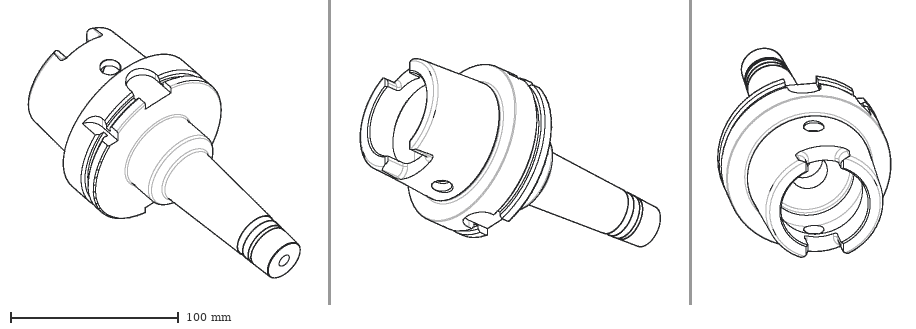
import cadquery as cq
import math

SHANK_LENGTH = 50.0
FLANGE_WIDTH = 29.0
NOSE_X = 145.0
NECK_CORNER_X = 50.5

GAUGE_DIAMETER = 75.0
GAUGE_X = -10.0
TAPER_RATIO = 1 / 10
SHANK_END_FILLET = 2.0
RELIEF_DIAMETER = 75.42
RELIEF_START_X = -2.5
RELIEF_STEP_LENGTH = 0.5
SHANK_ROOT_FILLET = 1.3

FLANGE_DIAMETER = 100.0
FLANGE_FILLET = 1.0
FLANGE_REAR_FILLET = 0.5
GROOVE_CENTRE_X = 20.0
GROOVE_MOUTH_WIDTH = 6.4
GROOVE_FLOOR_WIDTH = 3.4
GROOVE_DEPTH = 3.95
GROOVE_FLANK_ANGLE = 40.0

NECK_DIAMETER = 50.0
NECK_ROOT_FILLET = 1.0
SHOULDER_ANGLE = 60.0
SHOULDER_FILLET = 2.0
NOSE_DIAMETER = 25.8
NOSE_ANGLE = 3.0
NOSE_CHAMFER = 0.4
RING_BANDS = ((118.5, 123.1), (127.8, 130.2))
RING_DEPTH = 0.4

MOUTH_DIAMETER = 53.0
MOUTH_CHAMFER = 1.0
LIP_LENGTH = 19.0
UNDERCUT_DIAMETER = 63.0
LIP_ANGLE = 60.0
UNDERCUT_FILLET_X = -10.0
CAVITY_FLOOR_X = 0.0
CAVITY_FLOOR_FILLET = 1.5
THREAD_BORE_DIAMETER = 22.38
THREAD_BORE_DEPTH = 15.0
COOLANT_DIAMETER = 8.0

KEYWAY_WIDTH = 20.0
TOP_KEYWAY_DEPTH = 10.0
BOTTOM_KEYWAY_DEPTH = 15.0
KEYWAY_SHELF_HEIGHT = 32.0
KEYWAY_EDGE_RADIUS = 5.0
KEYWAY_CORNER_RADIUS = 2.0
KEYWAY_MOUTH_CHAMFER = 1.4

ACCESS_HOLE_DIAMETER = 12.0
ACCESS_HOLE_RIM_DIAMETER = 13.2
ACCESS_HOLE_X = -15.2

FLANGE_SLOT_WIDTH = 20.0
FLANGE_SLOT_START_X = 4.6
FLANGE_SLOT_FLOOR = 44.0
NOTCH_WALL = 31.5

SHANK_END_X = -SHANK_LENGTH
FLANGE_RADIUS = FLANGE_DIAMETER / 2
NECK_RADIUS = NECK_DIAMETER / 2
CLEARANCE = 5.0


def shank_radius(x):
    return (GAUGE_DIAMETER + (x - GAUGE_X) * TAPER_RATIO) / 2


def nose_radius(x):
    return NOSE_DIAMETER / 2 + (NOSE_X - x) * math.tan(math.radians(NOSE_ANGLE))


def revolve_profile(points):
    """Turn a closed (x, radius) outline about the X axis."""
    return cq.Workplane("XY").polyline(points).close().revolve(360, (0, 0, 0), (1, 0, 0))


def ring_edges(body, x, radius):
    """Circular edges about the X axis at the given station and radius."""
    tolerance = 0.001

    def matches(edge):
        if edge.geomType() != "CIRCLE":
            return False
        return abs(edge.Center().x - x) < tolerance and abs(edge.radius() - radius) < tolerance

    return body.edges().filter(matches)


def shoulder_foot():
    """Point where the shoulder cone meets the nose cone."""
    shoulder_slope = math.tan(math.radians(SHOULDER_ANGLE))
    nose_slope = math.tan(math.radians(NOSE_ANGLE))
    drop = NECK_RADIUS - nose_radius(NECK_CORNER_X)
    x = NECK_CORNER_X + drop / (shoulder_slope - nose_slope)
    return x, nose_radius(x)


def turned_body():
    foot = shoulder_foot()
    relief_radius = RELIEF_DIAMETER / 2
    end_radius = shank_radius(SHANK_END_X)
    nose_end_radius = nose_radius(NOSE_X)
    body = revolve_profile([
        (SHANK_END_X, 0),
        (SHANK_END_X, end_radius),
        (RELIEF_START_X, shank_radius(RELIEF_START_X)),
        (RELIEF_START_X + RELIEF_STEP_LENGTH, relief_radius),
        (0, relief_radius),
        (0, FLANGE_RADIUS),
        (FLANGE_WIDTH, FLANGE_RADIUS),
        (FLANGE_WIDTH, NECK_RADIUS),
        (NECK_CORNER_X, NECK_RADIUS),
        foot,
        (NOSE_X, nose_end_radius),
        (NOSE_X, 0),
    ])
    for x, radius, size in (
        (SHANK_END_X, end_radius, SHANK_END_FILLET),
        (0, relief_radius, SHANK_ROOT_FILLET),
        (0, FLANGE_RADIUS, FLANGE_REAR_FILLET),
        (FLANGE_WIDTH, FLANGE_RADIUS, FLANGE_FILLET),
        (FLANGE_WIDTH, NECK_RADIUS, NECK_ROOT_FILLET),
        (NECK_CORNER_X, NECK_RADIUS, SHOULDER_FILLET),
        (*foot, SHOULDER_FILLET),
    ):
        body = ring_edges(body, x, radius).fillet(size)
    return ring_edges(body, NOSE_X, nose_end_radius).chamfer(NOSE_CHAMFER)


def gripper_groove():
    half_mouth = GROOVE_MOUTH_WIDTH / 2
    half_floor = GROOVE_FLOOR_WIDTH / 2
    floor_radius = FLANGE_RADIUS - GROOVE_DEPTH
    flank_drop = (half_mouth - half_floor) / math.tan(math.radians(GROOVE_FLANK_ANGLE))
    flank_foot_radius = FLANGE_RADIUS - flank_drop
    outer_radius = FLANGE_RADIUS + CLEARANCE
    return revolve_profile([
        (GROOVE_CENTRE_X - half_mouth, outer_radius),
        (GROOVE_CENTRE_X - half_mouth, FLANGE_RADIUS),
        (GROOVE_CENTRE_X - half_floor, flank_foot_radius),
        (GROOVE_CENTRE_X - half_floor, floor_radius),
        (GROOVE_CENTRE_X + half_floor, floor_radius),
        (GROOVE_CENTRE_X + half_floor, flank_foot_radius),
        (GROOVE_CENTRE_X + half_mouth, FLANGE_RADIUS),
        (GROOVE_CENTRE_X + half_mouth, outer_radius),
    ])


def nose_ring(start_x, end_x):
    """Shallow recess that follows the nose cone between two stations."""
    return revolve_profile([
        (start_x, nose_radius(start_x) + CLEARANCE),
        (start_x, nose_radius(start_x) - RING_DEPTH),
        (end_x, nose_radius(end_x) - RING_DEPTH),
        (end_x, nose_radius(end_x) + CLEARANCE),
    ])


def clamping_cavity():
    """Stepped bore along the axis: lip, undercut, rounded floor, thread bore and coolant hole."""
    mouth_radius = MOUTH_DIAMETER / 2
    undercut_radius = UNDERCUT_DIAMETER / 2
    thread_radius = THREAD_BORE_DIAMETER / 2
    coolant_radius = COOLANT_DIAMETER / 2
    undercut_step = undercut_radius - mouth_radius
    lip_x = SHANK_END_X + LIP_LENGTH
    lip_run = undercut_step / math.tan(math.radians(LIP_ANGLE))
    thread_end_x = CAVITY_FLOOR_X + THREAD_BORE_DEPTH
    diagonal = math.sqrt(0.5)
    undercut_arc_middle = (
        UNDERCUT_FILLET_X + undercut_step * diagonal,
        mouth_radius + undercut_step * diagonal,
    )
    floor_arc_x = CAVITY_FLOOR_X - CAVITY_FLOOR_FILLET
    floor_arc_radius = mouth_radius - CAVITY_FLOOR_FILLET
    floor_arc_middle = (
        floor_arc_x + CAVITY_FLOOR_FILLET * diagonal,
        floor_arc_radius + CAVITY_FLOOR_FILLET * diagonal,
    )
    return (
        cq.Workplane("XY")
        .moveTo(SHANK_END_X, 0)
        .lineTo(SHANK_END_X, mouth_radius + MOUTH_CHAMFER)
        .lineTo(SHANK_END_X + MOUTH_CHAMFER, mouth_radius)
        .lineTo(lip_x, mouth_radius)
        .lineTo(lip_x + lip_run, undercut_radius)
        .lineTo(UNDERCUT_FILLET_X, undercut_radius)
        .threePointArc(undercut_arc_middle, (UNDERCUT_FILLET_X + undercut_step, mouth_radius))
        .lineTo(floor_arc_x, mouth_radius)
        .threePointArc(floor_arc_middle, (CAVITY_FLOOR_X, floor_arc_radius))
        .lineTo(CAVITY_FLOOR_X, thread_radius)
        .lineTo(thread_end_x, thread_radius)
        .lineTo(thread_end_x, coolant_radius)
        .lineTo(NOSE_X, coolant_radius)
        .lineTo(NOSE_X, 0)
        .close()
        .revolve(360, (0, 0, 0), (1, 0, 0))
    )


def keyway(depth):
    """Keyway on the +Z side: straight walls that flare out over rounded edges."""
    half_width = KEYWAY_WIDTH / 2
    shelf_start = half_width + KEYWAY_EDGE_RADIUS
    wall_top = KEYWAY_SHELF_HEIGHT - KEYWAY_EDGE_RADIUS
    arc_offset = KEYWAY_EDGE_RADIUS * math.sqrt(0.5)
    arc_y = shelf_start - arc_offset
    arc_z = wall_top + arc_offset
    outer_y = shelf_start + CLEARANCE
    outer_z = shank_radius(0) + CLEARANCE
    slot = (
        cq.Workplane("YZ", origin=(SHANK_END_X, 0, 0))
        .moveTo(-half_width, 0)
        .lineTo(half_width, 0)
        .lineTo(half_width, wall_top)
        .threePointArc((arc_y, arc_z), (shelf_start, KEYWAY_SHELF_HEIGHT))
        .lineTo(outer_y, KEYWAY_SHELF_HEIGHT)
        .lineTo(outer_y, outer_z)
        .lineTo(-outer_y, outer_z)
        .lineTo(-outer_y, KEYWAY_SHELF_HEIGHT)
        .lineTo(-shelf_start, KEYWAY_SHELF_HEIGHT)
        .threePointArc((-arc_y, arc_z), (-half_width, wall_top))
        .close()
        .extrude(depth)
    )
    end_outline = slot.faces(">X").edges("not(<Z or >Z or <Y or >Y)")
    slot = end_outline.fillet(KEYWAY_CORNER_RADIUS)
    mouth = (
        cq.Workplane("XY", origin=(SHANK_END_X, 0, 0))
        .moveTo(0, -half_width - KEYWAY_MOUTH_CHAMFER)
        .lineTo(0, half_width + KEYWAY_MOUTH_CHAMFER)
        .lineTo(KEYWAY_MOUTH_CHAMFER, half_width)
        .lineTo(KEYWAY_MOUTH_CHAMFER, -half_width)
        .close()
        .extrude(KEYWAY_SHELF_HEIGHT)
    )
    return slot.union(mouth)


def access_hole():
    """Radial hole on the +Z side with a countersunk rim."""
    hole_radius = ACCESS_HOLE_DIAMETER / 2
    rim_step = (ACCESS_HOLE_RIM_DIAMETER - ACCESS_HOLE_DIAMETER) / 2
    shank_top = shank_radius(ACCESS_HOLE_X)
    cone_height = rim_step + CLEARANCE
    hole = cq.Workplane("XY").circle(hole_radius).extrude(shank_top)
    countersink = cq.Solid.makeCone(
        hole_radius,
        hole_radius + cone_height,
        cone_height,
        pnt=cq.Vector(0, 0, shank_top - rim_step),
    )
    return hole.union(cq.Workplane(countersink)).translate((ACCESS_HOLE_X, 0, 0))


def round_ended_slot(centre_y, floor_z):
    """Slot open to the nose side of the flange, with a half-round rear end."""
    radius = FLANGE_SLOT_WIDTH / 2
    end_centre_x = FLANGE_SLOT_START_X + radius
    open_x = FLANGE_WIDTH
    return (
        cq.Workplane("XY", origin=(0, centre_y, floor_z))
        .moveTo(open_x, -radius)
        .lineTo(end_centre_x, -radius)
        .threePointArc((FLANGE_SLOT_START_X, 0), (end_centre_x, radius))
        .lineTo(open_x, radius)
        .close()
        .extrude(FLANGE_RADIUS)
    )


def opposite(shape):
    """Copy turned half a revolution about the X axis."""
    return shape.rotate((0, 0, 0), (1, 0, 0), 180)


result = turned_body().cut(gripper_groove())
for band in RING_BANDS:
    result = result.cut(nose_ring(*band))
result = result.cut(clamping_cavity())
result = result.cut(keyway(TOP_KEYWAY_DEPTH)).cut(opposite(keyway(BOTTOM_KEYWAY_DEPTH)))
for cutter in (access_hole(), round_ended_slot(0, FLANGE_SLOT_FLOOR)):
    result = result.cut(cutter).cut(opposite(cutter))
result = result.cut(round_ended_slot(-NOTCH_WALL - FLANGE_SLOT_WIDTH / 2, NOTCH_WALL))